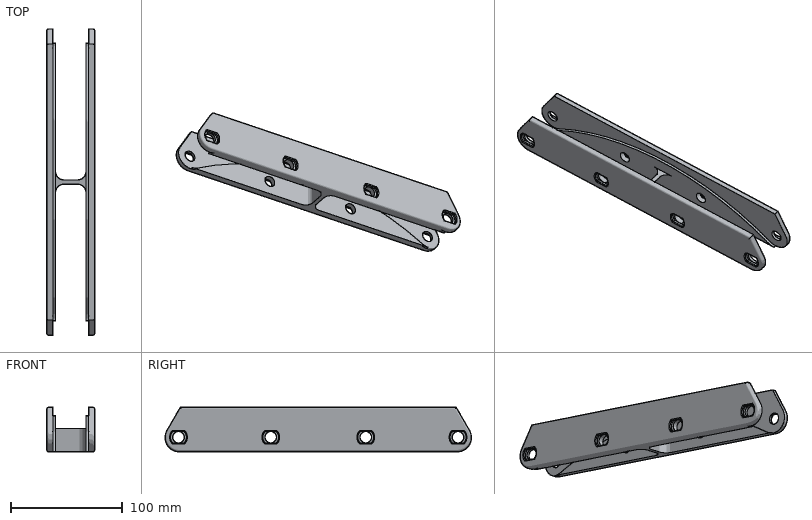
import cadquery as cq
import math

LENGTH = 274.5
WIDTH = 43.0
HEIGHT = 40.0

PLATE_THICKNESS = 5.5
END_RADIUS = 13.0
END_SLOPE = math.radians(60)
OUTER_EDGE_RADIUS = 2.0

PAD_THICKNESS = 2.5
PAD_HEIGHT = 32.7

WEB_THICKNESS = 4.0
WEB_HEIGHT = 21.1
WEB_FILLET = 7.5

HOLE_DIAMETER = 10.2
HOLE_Z = 13.2
HOLE_Y_POSITIONS = (-125.2, -42.5, 42.5, 125.2)
RECESS_DIAMETER = 14.3
RECESS_FLATS = HOLE_DIAMETER
RECESS_DEPTH = 2.7
RECESS_CHAMFER = 0.8
CHAMFER_ANGLE = 45

OUTER_X = WIDTH / 2
PLATE_INNER_X = OUTER_X - PLATE_THICKNESS
PAD_INNER_X = PLATE_INNER_X - PAD_THICKNESS
END_CENTER_Y = LENGTH / 2 - END_RADIUS


def plate():
    """Side plate on the +X side: round lower corners, sloped upper ends, rounded outer edge."""
    normal_angle = math.pi / 2 - END_SLOPE
    tangent_y = END_CENTER_Y + END_RADIUS * math.cos(normal_angle)
    tangent_z = END_RADIUS + END_RADIUS * math.sin(normal_angle)
    top_y = tangent_y - (HEIGHT - tangent_z) / math.tan(END_SLOPE)
    middle_angle = (normal_angle - math.pi / 2) / 2
    middle_y = END_CENTER_Y + END_RADIUS * math.cos(middle_angle)
    middle_z = END_RADIUS + END_RADIUS * math.sin(middle_angle)
    return (
        cq.Workplane("YZ", origin=(PLATE_INNER_X, 0, 0))
        .moveTo(-END_CENTER_Y, 0)
        .lineTo(END_CENTER_Y, 0)
        .threePointArc((middle_y, middle_z), (tangent_y, tangent_z))
        .lineTo(top_y, HEIGHT)
        .lineTo(-top_y, HEIGHT)
        .lineTo(-tangent_y, tangent_z)
        .threePointArc((-middle_y, middle_z), (-END_CENTER_Y, 0))
        .close()
        .extrude(PLATE_THICKNESS)
        .faces(">X")
        .edges()
        .fillet(OUTER_EDGE_RADIUS)
    )


def pad():
    """Arched pad whose top arc runs smoothly into a hollow arc around each plate end."""
    arch_radius = (END_CENTER_Y**2 + (PAD_HEIGHT - END_RADIUS) ** 2 - END_RADIUS**2) / (2 * PAD_HEIGHT)
    arch_angle = math.asin(END_CENTER_Y / (arch_radius + END_RADIUS))
    joint_y = arch_radius * math.sin(arch_angle)
    joint_z = PAD_HEIGHT - arch_radius * (1 - math.cos(arch_angle))
    tail_y = END_CENTER_Y - END_RADIUS * math.sin(arch_angle / 2)
    tail_z = END_RADIUS * (1 - math.cos(arch_angle / 2))
    return (
        cq.Workplane("YZ", origin=(PAD_INNER_X, 0, 0))
        .moveTo(-END_CENTER_Y, 0)
        .lineTo(END_CENTER_Y, 0)
        .threePointArc((tail_y, tail_z), (joint_y, joint_z))
        .threePointArc((0, PAD_HEIGHT), (-joint_y, joint_z))
        .threePointArc((-tail_y, tail_z), (-END_CENTER_Y, 0))
        .close()
        .extrude(PAD_THICKNESS)
    )


def web():
    """Upright web between the pads, flaring at both ends with quarter-round fillets."""
    half = WEB_THICKNESS / 2
    flare_x = PAD_INNER_X - WEB_FILLET
    flare_y = half + WEB_FILLET
    return (
        cq.Workplane("XY")
        .moveTo(-flare_x, -half)
        .lineTo(flare_x, -half)
        .radiusArc((PAD_INNER_X, -flare_y), WEB_FILLET)
        .lineTo(PAD_INNER_X, flare_y)
        .radiusArc((flare_x, half), WEB_FILLET)
        .lineTo(-flare_x, half)
        .radiusArc((-PAD_INNER_X, flare_y), WEB_FILLET)
        .lineTo(-PAD_INNER_X, -flare_y)
        .radiusArc((-flare_x, -half), WEB_FILLET)
        .close()
        .extrude(WEB_HEIGHT)
    )


def flat_sided_prism(diameter, flats, depth, taper=0):
    """Round prism cut flat above and below, going inward from the outer face of the plate."""
    outer_face = cq.Workplane("YZ", origin=(OUTER_X, 0, 0))
    round_part = outer_face.circle(diameter / 2).extrude(-depth, taper=taper)
    flat_part = outer_face.rect(2 * diameter, flats).extrude(-depth, taper=taper)
    return round_part.intersect(flat_part)


def recess():
    """Cutter for one recess: a flat-sided pocket with a chamfered rim."""
    widening = 2 * RECESS_CHAMFER
    pocket = flat_sided_prism(RECESS_DIAMETER, RECESS_FLATS, RECESS_DEPTH)
    rim = flat_sided_prism(RECESS_DIAMETER + widening, RECESS_FLATS + widening, RECESS_CHAMFER, CHAMFER_ANGLE)
    return pocket.union(rim)


def bolt_hole():
    """Cutter for one hole through plate and pad, with its recess."""
    return (
        cq.Workplane("YZ", origin=(PAD_INNER_X, 0, 0))
        .circle(HOLE_DIAMETER / 2)
        .extrude(PAD_THICKNESS + PLATE_THICKNESS)
        .union(recess())
    )


side = plate().union(pad())
for hole_y in HOLE_Y_POSITIONS:
    side = side.cut(bolt_hole().translate((0, hole_y, HOLE_Z)))

result = side.union(side.mirror("YZ")).union(web()).solids()